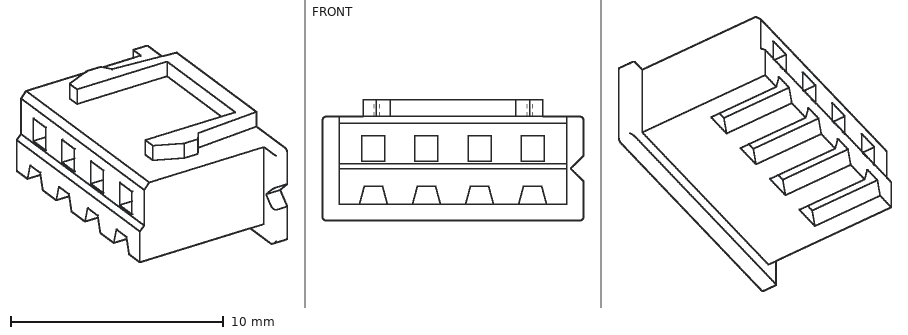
import cadquery as cq

flange_width = 12.3
length = 7.75
flange_height = 4.91
flange_thickness = 0.8
flange_round = 0.2
flange_front = length - flange_thickness

body_width = 10.7
body_bottom = 0.77
step_depth = 0.25
step_top = 2.68
step_bottom = step_top - step_depth
top_bevel_depth = 0.28
top_bevel_height = 0.32

total_height = 5.7
latch_height = total_height - flange_height
latch_inner_half = 2.96
latch_bridge = 0.86
latch_root_half = 3.47
latch_neck_half = 3.74
latch_hook_half = 4.23
latch_tip_half = 3.62
latch_tip_y = 1.85
latch_hook_front_y = 3.21
latch_hook_rear_y = 3.97
latch_neck_y = 4.32

contact_count = 4
pitch = 2.5
hole_width = 1.08
hole_bottom = 2.79
hole_height = 1.22
groove_top = 1.61
groove_top_width = 0.86
groove_bottom_width = 1.32
groove_depth = 3.69

notch_depth = 0.62
notch_half_height = 0.6
notch_z = flange_height / 2


def make_flange():
    """Plate with rounded outline corners and rounded front side edges."""
    front_outline = (
        cq.Workplane("XY")
        .box(flange_width, flange_thickness, flange_height, centered=(True, False, False))
        .translate((0, flange_front, 0))
    )
    plan_outline = front_outline.faces("<Y").edges("|Z").fillet(flange_round)
    front_outline = front_outline.edges("|Y").fillet(flange_round)
    return front_outline.intersect(plan_outline)


def make_body():
    """Stepped side profile extruded across the body width."""
    profile = [
        (flange_front, body_bottom),
        (0, body_bottom),
        (0, step_bottom),
        (step_depth, step_top),
        (step_depth, flange_height - top_bevel_height),
        (step_depth + top_bevel_depth, flange_height),
        (flange_front, flange_height),
    ]
    return cq.Workplane("YZ").polyline(profile).close().extrude(body_width / 2, both=True)


def make_latch():
    """U-shaped frame with a hooked arm on each side."""
    right_side = [
        (latch_inner_half, length - latch_bridge),
        (latch_inner_half, latch_tip_y),
        (latch_tip_half, latch_tip_y),
        (latch_hook_half, latch_hook_front_y),
        (latch_hook_half, latch_hook_rear_y),
        (latch_neck_half, latch_neck_y),
        (latch_root_half, length),
    ]
    left_side = [(-x, y) for x, y in reversed(right_side)]
    return (
        cq.Workplane("XY", origin=(0, 0, flange_height))
        .polyline(right_side + left_side)
        .close()
        .extrude(latch_height)
    )


def make_contact_cut(x):
    """Rectangular hole reaching the flange, with a shorter tapered groove below it."""
    hole = (
        cq.Workplane("XY")
        .box(hole_width, flange_front, hole_height, centered=(True, False, False))
        .translate((x, 0, hole_bottom))
    )
    groove_profile = [
        (x - groove_bottom_width / 2, body_bottom),
        (x - groove_top_width / 2, groove_top),
        (x + groove_top_width / 2, groove_top),
        (x + groove_bottom_width / 2, body_bottom),
    ]
    groove = cq.Workplane("XZ").polyline(groove_profile).close().extrude(-groove_depth)
    return hole.union(groove)


def make_notch():
    """V-shaped cutter through the flange thickness."""
    edge_x = flange_width / 2
    profile = [
        (edge_x, notch_z - notch_half_height),
        (edge_x - notch_depth, notch_z),
        (edge_x, notch_z + notch_half_height),
    ]
    return cq.Workplane("XZ", origin=(0, length, 0)).polyline(profile).close().extrude(flange_thickness)


result = make_flange().cut(make_notch()).union(make_body()).union(make_latch())
for index in range(contact_count):
    contact_x = (index - (contact_count - 1) / 2) * pitch
    result = result.cut(make_contact_cut(contact_x))